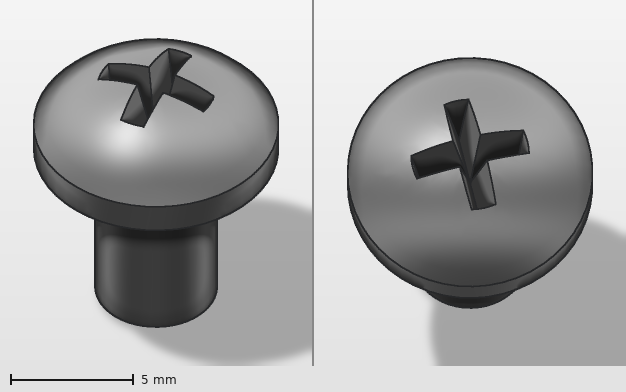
import cadquery as cq
import math


shank_diameter = 5.0
shank_length = 8.0
tip_diameter = 4.134
tip_chamfer_angle = 40.0

head_diameter = 10.0
rim_height = 1.3
cap_height = 2.5

groove_depth = 3.7
groove_half_angle = 9.0
recess_end_radius = 2.41
recess_floor_radius = 1.9

shank_radius = shank_diameter / 2
tip_radius = tip_diameter / 2
tip_chamfer_height = (shank_radius - tip_radius) * math.tan(math.radians(tip_chamfer_angle))
head_radius = head_diameter / 2
rim_top_z = shank_length + rim_height
head_top_z = rim_top_z + cap_height
cap_sphere_radius = (head_radius**2 + cap_height**2) / (2 * cap_height)
cap_center_z = head_top_z - cap_sphere_radius
groove_floor_z = head_top_z - groove_depth


def cap_z_at(radius):
    """Z of the spherical cap at a given distance from the axis."""
    return cap_center_z + math.sqrt(cap_sphere_radius**2 - radius**2)


def screw_body():
    """Shank and head revolved in one piece."""
    mid_radius = head_radius / 2
    profile = (
        cq.Workplane("XZ")
        .lineTo(tip_radius, 0)
        .lineTo(shank_radius, tip_chamfer_height)
        .lineTo(shank_radius, shank_length)
        .lineTo(head_radius, shank_length)
        .lineTo(head_radius, rim_top_z)
        .threePointArc((mid_radius, cap_z_at(mid_radius)), (0, head_top_z))
        .close()
    )
    return profile.revolve(360, (0, 0, 0), (0, 1, 0))


def v_groove():
    """Triangular prism along Y, opening upward from the V line to the top of the cap."""
    half_width = groove_depth * math.tan(math.radians(groove_half_angle))
    return (
        cq.Workplane("XZ")
        .moveTo(0, groove_floor_z)
        .lineTo(half_width, head_top_z)
        .lineTo(-half_width, head_top_z)
        .close()
        .extrude(head_radius, both=True)
    )


def recess_cone():
    """Tapered plug that bounds the outer ends of the grooves."""
    rim_rise = cap_z_at(recess_end_radius) - groove_floor_z
    end_slope = (recess_end_radius - recess_floor_radius) / rim_rise
    top_radius = recess_floor_radius + end_slope * groove_depth
    profile = (
        cq.Workplane("XZ")
        .moveTo(0, groove_floor_z)
        .lineTo(recess_floor_radius, groove_floor_z)
        .lineTo(top_radius, head_top_z)
        .lineTo(0, head_top_z)
        .close()
    )
    return profile.revolve(360, (0, 0, 0), (0, 1, 0))


result = screw_body()
for angle in (0, 90):
    groove = v_groove().rotate((0, 0, 0), (0, 0, 1), angle)
    result = result.cut(groove.intersect(recess_cone()))